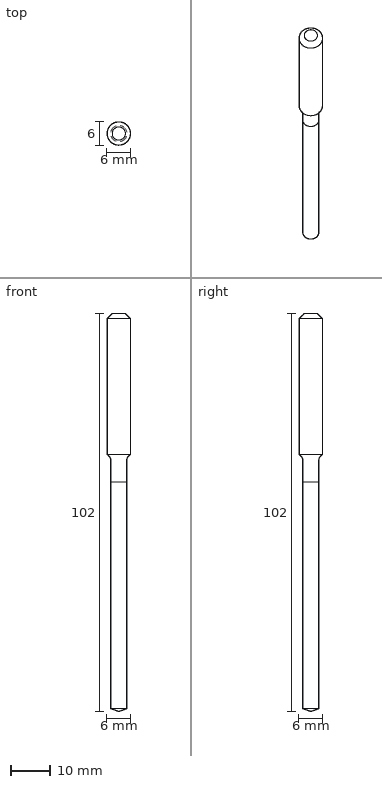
import cadquery as cq
import math

total_length = 102.0
shank_diameter = 6.0
drill_diameter = 4.2
point_angle = 140.0

joint_height = 58.8
shoulder_height = 65.9

end_chamfer = 1.3
neck_fillet_radius = 1.0

shank_radius = shank_diameter / 2
drill_radius = drill_diameter / 2
neck_radius = drill_radius
point_height = drill_radius / math.tan(math.radians(point_angle / 2))
shoulder_drop = shank_radius - neck_radius


def make_shank():
    """Chamfered shank with a 45 degree shoulder blending into the neck."""
    cone_end_height = shoulder_height - shoulder_drop
    profile = (
        cq.Workplane("XZ")
        .moveTo(0, joint_height)
        .lineTo(neck_radius, joint_height)
        .lineTo(neck_radius, cone_end_height)
        .lineTo(shank_radius, shoulder_height)
        .lineTo(shank_radius, total_length - end_chamfer)
        .lineTo(shank_radius - end_chamfer, total_length)
        .lineTo(0, total_length)
        .close()
    )
    body = profile.revolve(360, (0, 0, 0), (0, 1, 0))
    neck_edge = cq.selectors.NearestToPointSelector((0, 0, cone_end_height))
    neck_edges = body.edges("%CIRCLE").edges(neck_edge)
    return neck_edges.fillet(neck_fillet_radius)


def make_drill():
    """Plain round drill with a conical point."""
    profile = (
        cq.Workplane("XZ")
        .lineTo(drill_radius, point_height)
        .lineTo(drill_radius, joint_height)
        .lineTo(0, joint_height)
        .close()
    )
    return profile.revolve(360, (0, 0, 0), (0, 1, 0))


shank = make_shank()
drill = make_drill()

result = cq.Compound.makeCompound([shank.val(), drill.val()])